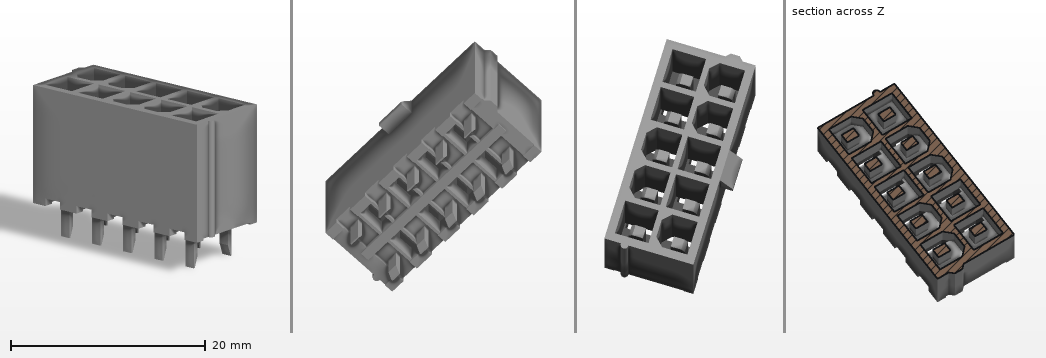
import cadquery as cq


columns = 5
contact_span = 16.8
pitch = contact_span / (columns - 1)

overall_length = 23.0
housing_length = 22.1
side_rib_height = (overall_length - housing_length) / 2
housing_depth = 9.6
housing_height = 12.7
standoff = 0.2
foot_depth = 1.05
floor_top = 3.0

cavity_side = 3.6
cavity_chamfer = 0.87
chamfered_columns = {1: (0, 1, 4), -1: (2, 3)}

window_width = 2.0
window_height = 0.8
web_slot_width = 1.59

pin_width = 1.13
pin_bottom = -3.6
pin_top = 8.75
tail_thickness = 0.6
tail_taper = 0.44
tail_taper_length = 1.25
blade_thickness = 1.52
blade_taper = 0.4
blade_taper_length = 0.55
pin_outer_face = {1: 3.25, -1: 2.8}

latch_width = 3.35
latch_reach = 1.4
latch_drop = 3.04
latch_ramp_drop = 2.3

key_rib_base = 1.89
key_rib_crest = 0.97
key_rib_y = 2.45
round_rib_width = 0.8
round_rib_y = -2.6

half_length = housing_length / 2
half_depth = housing_depth / 2
column_x = [(i - (columns - 1) / 2) * pitch for i in range(columns)]
row_y = {side: side * pitch / 2 for side in (1, -1)}
bay_depth = (housing_depth - 3 * foot_depth) / 2
bay_y = (bay_depth + foot_depth) / 2


def block(x_size, y_size, z_low, z_high, x=0, y=0):
    """Box centred on (x, y) between two heights."""
    return (
        cq.Workplane("XY", origin=(x, y, z_low))
        .rect(x_size, y_size)
        .extrude(z_high - z_low)
    )


def make_shell():
    """Outer block standing on two long edge feet and an inset middle foot."""
    shell = block(housing_length, housing_depth, standoff, housing_height)
    for side in (1, -1):
        foot_y = side * (half_depth - foot_depth / 2)
        shell = shell.union(block(housing_length, foot_depth, 0, standoff, y=foot_y))
    middle_foot_length = contact_span + cavity_side
    return shell.union(block(middle_foot_length, foot_depth, 0, standoff))


def make_cavity(x, y, keyed):
    """Square contact cavity; a keyed one has its two -Y corners chamfered."""
    cavity = block(cavity_side, cavity_side, floor_top, housing_height, x, y)
    if keyed:
        cavity = cavity.faces("<Y").edges("|Z").chamfer(cavity_chamfer)
    return cavity


def make_window(x, side):
    """Low opening under a contact, from the outer wall in to the middle foot."""
    depth = half_depth - foot_depth / 2
    y = side * (half_depth - depth / 2)
    return block(window_width, depth, 0, window_height, x, y)


def make_pin(x, side):
    """Pin with a thin tapered tail and a thicker blade, extruded from its YZ profile."""
    outer = pin_outer_face[side]
    tail_inner = outer - tail_thickness
    blade_inner = outer - blade_thickness
    profile = [
        (outer, pin_bottom),
        (outer, pin_top - blade_taper_length),
        (outer - blade_taper, pin_top),
        (blade_inner, pin_top),
        (blade_inner, floor_top),
        (tail_inner, floor_top),
        (tail_inner, pin_bottom + tail_taper_length),
        (tail_inner + tail_taper, pin_bottom),
    ]
    return (
        cq.Workplane("YZ", origin=(x, 0, 0))
        .polyline([(side * y, z) for y, z in profile])
        .close()
        .extrude(pin_width / 2, both=True)
    )


def make_latch():
    """Wedge on the +Y wall, sloping out from the top edge."""
    latch_bottom = housing_height - latch_drop
    return (
        cq.Workplane("YZ")
        .moveTo(half_depth, housing_height)
        .lineTo(half_depth + latch_reach, housing_height - latch_ramp_drop)
        .lineTo(half_depth + latch_reach, latch_bottom)
        .lineTo(half_depth, latch_bottom)
        .close()
        .extrude(latch_width / 2, both=True)
    )


def make_key_rib():
    """Trapezoidal rib up the -X wall."""
    return (
        cq.Workplane("XY", origin=(-half_length, key_rib_y, standoff))
        .moveTo(0, key_rib_base / 2)
        .lineTo(-side_rib_height, key_rib_crest / 2)
        .lineTo(-side_rib_height, -key_rib_crest / 2)
        .lineTo(0, -key_rib_base / 2)
        .close()
        .extrude(housing_height - standoff)
    )


def make_round_rib():
    """Round-nosed rib up the +X wall."""
    radius = round_rib_width / 2
    straight = side_rib_height - radius
    return (
        cq.Workplane("XY", origin=(half_length, round_rib_y, standoff))
        .moveTo(0, -radius)
        .lineTo(straight, -radius)
        .threePointArc((side_rib_height, 0), (straight, radius))
        .lineTo(0, radius)
        .close()
        .extrude(housing_height - standoff)
    )


housing = make_shell()
for side in (1, -1):
    for column, x in enumerate(column_x):
        keyed = column in chamfered_columns[side]
        housing = housing.cut(make_cavity(x, row_y[side], keyed))
        housing = housing.cut(make_window(x, side))
    for x in column_x[:-1]:
        web_x = x + pitch / 2
        housing = housing.cut(
            block(web_slot_width, bay_depth, 0, floor_top, web_x, side * bay_y)
        )

result = housing.union(make_latch()).union(make_key_rib()).union(make_round_rib())
for side in (1, -1):
    for x in column_x:
        result = result.union(make_pin(x, side))